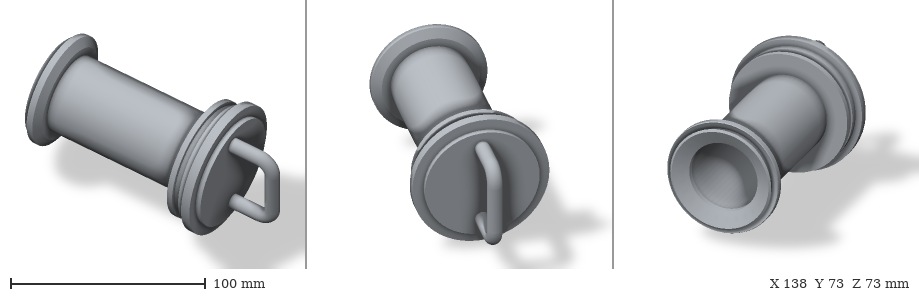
import cadquery as cq

total_length = 138.0
tube_diameter = 43.0
bore_diameter = 39.0

mouth_diameter = 53.8
throat_diameter = 38.0
mouth_depth = 4.5
throat_end = 7.9
lip_diameter = 56.2
lip_crest_x = 1.0
lip_root_diameter = 52.7
lip_root_x = 2.8
ferrule_diameter = 62.0
ferrule_rim_diameter = 61.4
ferrule_front_x = 3.5
ferrule_chamfer = 0.5
dish_depth = 2.6
ferrule_taper_x = 7.2
ferrule_back_x = 10.2
ferrule_back_diameter = 52.2

plug_start = 90.8
plug_diameter = 65.8
groove_start = 94.0
groove_end = 97.7
groove_diameter = 61.4
flange_start = 101.8
flange_end = 107.0
flange_diameter = 73.0
plug_end = 109.8
end_disc_diameter = 61.0

rod_diameter = 8.0
leg_offset = 21.5
bend_radius = 8.1
leg_embed = 1.4


def revolve_about_x(stations):
    """Revolve (position, diameter) stations, closed along the axis, about X."""
    outline = [(x, diameter / 2) for x, diameter in stations]
    outline = [(stations[0][0], 0)] + outline + [(stations[-1][0], 0)]
    return cq.Workplane("XY").polyline(outline).close().revolve(360, (0, 0, 0), (1, 0, 0))


def cylinder(start, end, diameter):
    return revolve_about_x([(start, diameter), (end, diameter)])


def ferrule():
    """Sharp-crested lip, dished sealing face and tapered clamp flange."""
    return revolve_about_x([
        (0, mouth_diameter),
        (lip_crest_x, lip_diameter),
        (lip_root_x, lip_root_diameter),
        (ferrule_front_x + dish_depth, lip_root_diameter),
        (ferrule_front_x, ferrule_rim_diameter),
        (ferrule_front_x + ferrule_chamfer, ferrule_diameter),
        (ferrule_taper_x, ferrule_diameter),
        (ferrule_back_x, ferrule_back_diameter),
    ])


def plug():
    """Grooved disc, large flange and small end disc."""
    steps = [
        (plug_start, groove_start, plug_diameter),
        (groove_start, groove_end, groove_diameter),
        (groove_end, flange_start, plug_diameter),
        (flange_start, flange_end, flange_diameter),
        (flange_end, plug_end, end_disc_diameter),
    ]
    body = cylinder(*steps[0])
    for step in steps[1:]:
        body = body.union(cylinder(*step))
    return body


def cavity():
    """Conical mouth, narrow throat and bore ending at the plug face."""
    return revolve_about_x([
        (0, mouth_diameter),
        (mouth_depth, throat_diameter),
        (throat_end, throat_diameter),
        (throat_end, bore_diameter),
        (plug_start, bore_diameter),
    ])


def handle():
    """U-shaped round rod standing on the end disc in the XZ plane."""
    leg_start = plug_end - leg_embed
    grip_x = total_length - rod_diameter / 2
    bend_start = grip_x - bend_radius
    grip_half = leg_offset - bend_radius
    path = (
        cq.Workplane("XZ")
        .moveTo(leg_start, leg_offset)
        .lineTo(bend_start, leg_offset)
        .tangentArcPoint((grip_x, grip_half), relative=False)
        .lineTo(grip_x, -grip_half)
        .tangentArcPoint((bend_start, -leg_offset), relative=False)
        .lineTo(leg_start, -leg_offset)
    )
    section = cq.Workplane("YZ", origin=(leg_start, 0, leg_offset)).circle(rod_diameter / 2)
    return section.sweep(path)


tube = cylinder(lip_root_x, plug_start, tube_diameter)
result = ferrule().union(tube).union(plug()).cut(cavity()).union(handle())